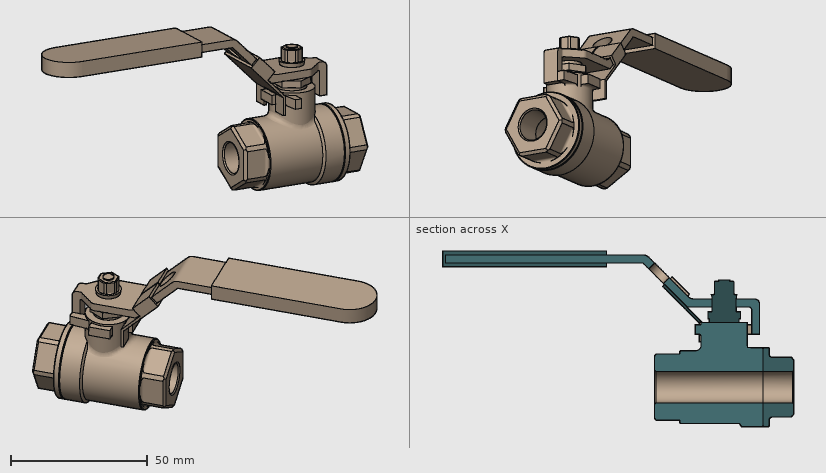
import cadquery as cq
import math


end_distance = 25.5
bore_diameter = 11.45
bore_chamfer = 0.5

hex_diameter = 24.4
hex_flat = 11.0
hex_chamfer = (1.15, 0.9)
hex_root_radius = 1.0

shell_radius = 26.7 / 2
shell_end = 16.3
shell_chamfer = 0.3
collar_radius = 29.0 / 2
collar_start = 5.6
collar_taper_length = 0.7
joint_y = 14.2
joint_chamfer = (29.0 - 28.5) / 2
cap_flange_end = 16.5

neck_radius = 17.0 / 2
neck_top = 23.7
neck_fillet = 2.0
lug_bottom = 19.3
lug_top = 22.9
lug_reach = 10.6
lug_width = 8.2
stop_reach = 13.0
stop_tip_width = 2.7
stop_base_width = 4.3
root_fillet = 0.7

gland_radius = 11.0 / 2
gland_hex_flats = 12.0
gland_hex_bottom = 25.0
gland_hex_top = 27.6
stem_radius = 9.0 / 2
flange_radius = 9.5 / 2
flange_top = 33.85
nut_diameter = 7.8
nut_flat = 3.6
nut_top = 38.8
nut_chamfer = (0.4, 0.3)
nut_root_radius = 0.5
tip_radius = 4.13 / 2
tip_top = 39.2

strip_thickness = 3.0
lever_width = 18.0
lever_bottom = 29.3
rise_start = 13.6
hook_outer = 13.0
hook_width = 6.0
hook_outer_radius = 2.0
hook_inner_radius = 1.0
head_shoulder = 9.55
head_full_width = 3.3
head_radius = 2.0
head_root_radius = 1.0
bend_radius = 3.0
lock_hole_diameter = 7.5
lock_hole_y = -22.75

grip_start = 43.0
grip_end = 103.0
grip_top = 49.8
grip_thickness = 5.8
grip_width = 20.0

sheet = 1.0
slide_width = 20.5
slide_inner_width = 18.5
slide_low = 33.0
slide_high = 42.0
slide_slit = 0.5
leg_y = 8.2
leg_bottom = 16.6
leg_gap = 8.9

lever_top = lever_bottom + strip_thickness
grip_bottom = grip_top - grip_thickness
upper_bottom = grip_bottom + (grip_thickness - strip_thickness) / 2
upper_top = upper_bottom + strip_thickness
stop_inner = hook_width / 2
bend_shift = strip_thickness * math.tan(math.radians(45 / 2))
diagonal = math.sqrt(2)
edge_margin = 0.1


def hexagonal_end(diameter, flat, base, top, chamfer, root_radius):
    """Cylinder along +Z with six flats that end in a rounded root at `base`."""
    inward, along = chamfer
    beyond = diameter
    cylinder = cq.Workplane("XY").workplane(offset=base).circle(diameter / 2).extrude(top - base)
    root_centre = (flat + root_radius, base + root_radius)
    root_middle = (
        root_centre[0] - root_radius / diagonal,
        root_centre[1] - root_radius / diagonal,
    )
    flat_cutter = (
        cq.Workplane("XZ")
        .moveTo(flat - inward, top)
        .lineTo(flat, top - along)
        .lineTo(flat, root_centre[1])
        .threePointArc(root_middle, (root_centre[0], base))
        .lineTo(beyond, base)
        .lineTo(beyond, top)
        .close()
        .extrude(diameter / 2, both=True)
    )
    for index in range(6):
        cylinder = cylinder.cut(flat_cutter.rotate((0, 0, 0), (0, 0, 1), 60 * index))
    return cylinder


def turned(points):
    """Solid of revolution about Y from (radius, y) points."""
    return cq.Workplane("XY").polyline(points).close().revolve(360, (0, 0, 0), (0, 1, 0))


def bore_cutter():
    radius = bore_diameter / 2
    return turned([
        (0, -end_distance),
        (radius + bore_chamfer, -end_distance),
        (radius, -end_distance + bore_chamfer),
        (radius, end_distance - bore_chamfer),
        (radius + bore_chamfer, end_distance),
        (0, end_distance),
    ])


def pipe_end(base):
    return hexagonal_end(hex_diameter, hex_flat, base, end_distance, hex_chamfer, hex_root_radius)


def rooted_projection(outline):
    """Neck projection from a plan outline, blended into the neck along its lower edge."""
    projection = (
        cq.Workplane("XY").workplane(offset=lug_bottom)
        .polyline(outline).close().extrude(lug_top - lug_bottom)
    )
    core = cq.Workplane("XY").workplane(offset=lug_bottom).circle(neck_radius).extrude(
        lug_top - lug_bottom
    )
    root = (
        cq.Workplane("XZ")
        .moveTo(neck_radius, lug_bottom - root_fillet)
        .radiusArc((neck_radius + root_fillet, lug_bottom), root_fillet)
        .lineTo(neck_radius, lug_bottom)
        .close()
        .revolve(360, (0, 0, 0), (0, 1, 0))
    )
    sector = (
        cq.Workplane("XY").workplane(offset=lug_bottom - root_fillet)
        .polyline(outline).close().extrude(root_fillet)
    )
    return projection.cut(core).union(root.intersect(sector))


def lug_outline():
    half = lug_width / 2
    return [(0, -half), (-lug_reach, -half), (-lug_reach, half), (0, half)]


def stop_outline():
    return [
        (-stop_inner, 0),
        (-stop_inner, stop_reach),
        (-stop_inner - stop_tip_width, stop_reach),
        (-stop_inner - stop_base_width, 0),
    ]


def make_body():
    shell = turned([
        (0, -shell_end),
        (shell_radius - shell_chamfer, -shell_end),
        (shell_radius, -shell_end + shell_chamfer),
        (shell_radius, joint_y),
        (0, joint_y),
    ])
    neck = cq.Workplane("XY").circle(neck_radius).extrude(neck_top)
    blended = shell.union(neck)
    seam_reach = neck_radius + edge_margin
    seam = cq.selectors.BoxSelector(
        (-seam_reach, -seam_reach, neck_radius), (seam_reach, seam_reach, shell_radius + edge_margin)
    )
    blended = blended.edges(seam).fillet(neck_fillet)
    collar = turned([
        (0, collar_start),
        (shell_radius, collar_start),
        (collar_radius, collar_start + collar_taper_length),
        (collar_radius, joint_y - joint_chamfer),
        (collar_radius - joint_chamfer, joint_y),
        (0, joint_y),
    ])
    hexagon = pipe_end(shell_end).rotate((0, 0, 0), (1, 0, 0), 90)
    body = blended.union(collar).union(hexagon)

    lug = rooted_projection(lug_outline())
    stop = rooted_projection(stop_outline())
    body = body.union(lug).union(lug.rotate((0, 0, 0), (0, 0, 1), 90))
    body = body.union(stop)
    body = body.union(stop.mirror("XZ").rotate((0, 0, 0), (0, 0, 1), 90))
    return body.cut(bore_cutter())


def make_cap():
    flange = turned([
        (0, joint_y),
        (collar_radius - joint_chamfer, joint_y),
        (collar_radius, joint_y + joint_chamfer),
        (collar_radius, cap_flange_end - joint_chamfer),
        (collar_radius - joint_chamfer, cap_flange_end),
        (0, cap_flange_end),
    ])
    hexagon = (
        pipe_end(cap_flange_end)
        .rotate((0, 0, 0), (0, 0, 1), 30)
        .rotate((0, 0, 0), (1, 0, 0), -90)
    )
    return flange.union(hexagon).cut(bore_cutter())


def disc(radius, bottom, top):
    return cq.Workplane("XY").workplane(offset=bottom).circle(radius).extrude(top - bottom)


def make_stem():
    gland_hex = (
        cq.Workplane("XY").workplane(offset=gland_hex_bottom)
        .polygon(6, gland_hex_flats, circumscribed=True)
        .extrude(gland_hex_top - gland_hex_bottom)
        .rotate((0, 0, 0), (0, 0, 1), 30)
    )
    nut = hexagonal_end(
        nut_diameter, nut_flat, flange_top, nut_top, nut_chamfer, nut_root_radius
    ).rotate((0, 0, 0), (0, 0, 1), 30)
    flange = (
        cq.Workplane("XZ")
        .polyline([
            (0, lever_top),
            (stem_radius, lever_top),
            (flange_radius, flange_top),
            (0, flange_top),
        ])
        .close()
        .revolve(360, (0, 0, 0), (0, 1, 0))
    )
    return (
        disc(gland_radius, neck_top, gland_hex_bottom)
        .union(gland_hex)
        .union(disc(stem_radius, gland_hex_top, lever_top))
        .union(flange)
        .union(nut)
        .union(disc(tip_radius, nut_top, tip_top))
    )


def make_lever():
    half = lever_width / 2
    upper_rise = upper_bottom - lever_bottom
    bar_end = grip_end - (grip_width - lever_width) / 2
    strip = (
        cq.Workplane("YZ")
        .polyline([
            (hook_outer, lug_bottom),
            (hook_outer, lever_top),
            (-rise_start + bend_shift, lever_top),
            (-rise_start - upper_rise + bend_shift, upper_top),
            (-bar_end, upper_top),
            (-bar_end, upper_bottom),
            (-rise_start - upper_rise, upper_bottom),
            (-rise_start, lever_bottom),
            (hook_outer - strip_thickness, lever_bottom),
            (hook_outer - strip_thickness, lug_bottom),
        ])
        .close()
        .extrude(half, both=True)
    )

    def bend(solid, y, z, radius):
        box = cq.selectors.BoxSelector(
            (-edge_margin, y - edge_margin, z - edge_margin),
            (edge_margin, y + edge_margin, z + edge_margin),
        )
        return solid.edges(box).fillet(radius)

    strip = bend(strip, hook_outer, lever_top, hook_outer_radius)
    strip = bend(strip, hook_outer - strip_thickness, lever_bottom, hook_inner_radius)
    strip = bend(strip, -rise_start + bend_shift, lever_top, bend_radius)
    strip = bend(strip, -rise_start - upper_rise + bend_shift, upper_top, bend_radius)

    plan = (
        cq.Workplane("XY")
        .moveTo(-hook_width / 2, hook_outer)
        .lineTo(hook_width / 2, hook_outer)
        .lineTo(hook_width / 2, head_shoulder)
        .lineTo(half, head_full_width)
        .lineTo(half, half - bar_end)
        .threePointArc((0, -bar_end), (-half, half - bar_end))
        .lineTo(-half, head_full_width)
        .lineTo(-hook_width / 2, head_shoulder)
        .close()
        .extrude(grip_top)
    )
    def round_corners(solid, y, radius):
        box = cq.selectors.BoxSelector((-half - edge_margin, y - edge_margin, 0),
                                       (half + edge_margin, y + edge_margin, grip_top))
        return solid.edges(box).edges("|Z").fillet(radius)

    plan = round_corners(plan, head_shoulder, head_root_radius)
    plan = round_corners(plan, head_full_width, head_radius)

    hole_z = lever_top + (-lock_hole_y - rise_start + bend_shift)
    hole = cq.Workplane(
        cq.Plane(origin=(0, lock_hole_y, hole_z), xDir=(1, 0, 0), normal=(0, 1, 1))
    ).circle(lock_hole_diameter / 2).extrude(2 * strip_thickness, both=True)
    stem_hole = disc(stem_radius, lever_bottom, lever_top)
    return strip.intersect(plan).cut(hole).cut(stem_hole)


def make_grip(lever):
    half = grip_width / 2
    outer = (
        cq.Workplane("XY").workplane(offset=grip_bottom)
        .moveTo(-half, -grip_start)
        .lineTo(half, -grip_start)
        .lineTo(half, half - grip_end)
        .threePointArc((0, -grip_end), (-half, half - grip_end))
        .close()
        .extrude(grip_thickness)
    )
    return outer.cut(lever)


def make_slide():
    rise_plane = cq.Plane(origin=(0, 0, 0), xDir=(0, -1, 1), normal=(-1, 0, 0))
    underside = (lever_bottom - rise_start) / diagonal
    length = slide_high - slide_low
    middle = (slide_low + slide_high) / 2

    def rise_box(low, high, width):
        return (
            cq.Workplane(rise_plane).center(middle, (low + high) / 2)
            .rect(length, high - low).extrude(width / 2, both=True)
        )

    top_face = underside + strip_thickness
    band = rise_box(underside - sheet, top_face + sheet, slide_width)
    band = band.cut(rise_box(underside, top_face, slide_inner_width))
    band = band.cut(rise_box(top_face, top_face + sheet, slide_slit))

    outer_y = leg_y + sheet
    inner_z = leg_y + lever_bottom - rise_start
    outer_z = outer_y + lever_bottom - rise_start - sheet * diagonal
    top_y = (slide_low - underside) / diagonal
    top_z = (slide_low + underside) / diagonal
    offset = sheet / diagonal
    apron = (
        cq.Workplane("YZ")
        .polyline([
            (-leg_y, leg_bottom),
            (-leg_y, inner_z),
            (-top_y, top_z),
            (-top_y - offset, top_z - offset),
            (-outer_y, outer_z),
            (-outer_y, leg_bottom),
        ])
        .close()
        .extrude(slide_width / 2, both=True)
    )
    gap = cq.Workplane("XY").box(leg_gap, 2 * outer_y, neck_top, centered=(True, True, False))
    return band.union(apron.cut(gap))


body = make_body()
cap = make_cap()
stem = make_stem()
lever = make_lever()
grip = make_grip(lever)
slide = make_slide()

result = cq.Compound.makeCompound([
    body.val(), cap.val(), stem.val(), lever.val(), grip.val(), slide.val(),
])